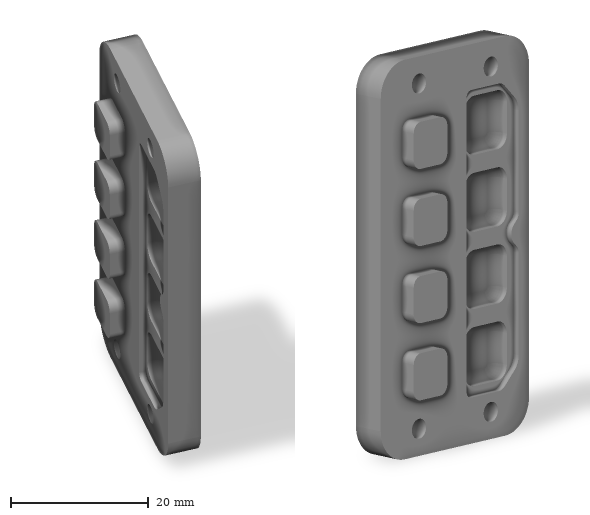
import cadquery as cq

plate_width = 31.0
plate_height = 59.5
plate_thickness = 5.0
plate_corner_radius = 5.0

column_x = 7.5
hole_diameter = 3
hole_z = 25.7
row_count = 4
row_pitch = 11.5
row_heights = [(row - (row_count - 1) / 2) * row_pitch for row in range(row_count)]

button_size = 7.0
button_height = 2.3
button_corner_radius = 1.5

recess_left = 2.45
recess_right = 13.3
recess_half_height = 22.9
recess_depth = 1.0
recess_bevel = 3.45
bevel_top_radius = 1.9
bevel_side_radius = 3
recess_corner_radius = 1.0
notch_depth = 2.4
notch_mouth_radius = 1.5
notch_tip_radius = 2.0

pocket_size = 8.8
pocket_depth = 2.5
pocket_corner_radius = 2.0
pocket_floor_radius = 1.5


def front_plane(y):
    """Sketch plane at depth y, local axes along X and Z, extruding towards -Y."""
    return cq.Workplane("XZ", origin=(0, y, 0))


def rounded_block(width, height, radius, y_back, length):
    """Block with rounded corners, from y_back towards -Y."""
    return front_plane(y_back).rect(width, height).extrude(length).edges("|Y").fillet(radius)


def round_edge(body, x, z, radius):
    """Round the edge running along Y through (x, z)."""
    return body.edges(cq.selectors.NearestToPointSelector((x, recess_depth / 2, z))).fillet(radius)


def make_recess():
    """Recess volume: bevelled right corners and a 45 degree notch halfway up the right side."""
    bevel_x = recess_right - recess_bevel
    bevel_z = recess_half_height - recess_bevel
    outline = [
        (recess_left, -recess_half_height),
        (bevel_x, -recess_half_height),
        (recess_right, -bevel_z),
        (recess_right, -notch_depth),
        (recess_right - notch_depth, 0),
        (recess_right, notch_depth),
        (recess_right, bevel_z),
        (bevel_x, recess_half_height),
        (recess_left, recess_half_height),
    ]
    recess = front_plane(recess_depth).polyline(outline).close().extrude(recess_depth)
    recess = round_edge(recess, recess_right - notch_depth, 0, notch_tip_radius)
    for side in (-1, 1):
        recess = round_edge(recess, recess_left, side * recess_half_height, recess_corner_radius)
        recess = round_edge(recess, bevel_x, side * recess_half_height, bevel_top_radius)
        recess = round_edge(recess, recess_right, side * bevel_z, bevel_side_radius)
        recess = round_edge(recess, recess_right, side * notch_depth, notch_mouth_radius)
    return recess


def make_button(z):
    button = rounded_block(button_size, button_size, button_corner_radius, 0, button_height)
    return button.translate((-column_x, 0, z))


def make_pocket(z):
    """Pocket volume reaching the front face, with a rounded floor edge."""
    length = recess_depth + pocket_depth
    pocket = rounded_block(pocket_size, pocket_size, pocket_corner_radius, length, length)
    return pocket.faces(">Y").edges().fillet(pocket_floor_radius).translate((column_x, 0, z))


def make_screw_holes():
    centers = [(x, z) for x in (-column_x, column_x) for z in (-hole_z, hole_z)]
    return front_plane(plate_thickness).pushPoints(centers).circle(hole_diameter / 2).extrude(plate_thickness)


result = rounded_block(plate_width, plate_height, plate_corner_radius, plate_thickness, plate_thickness)
result = result.cut(make_screw_holes())
result = result.cut(make_recess())
for row_z in row_heights:
    result = result.union(make_button(row_z))
    result = result.cut(make_pocket(row_z))